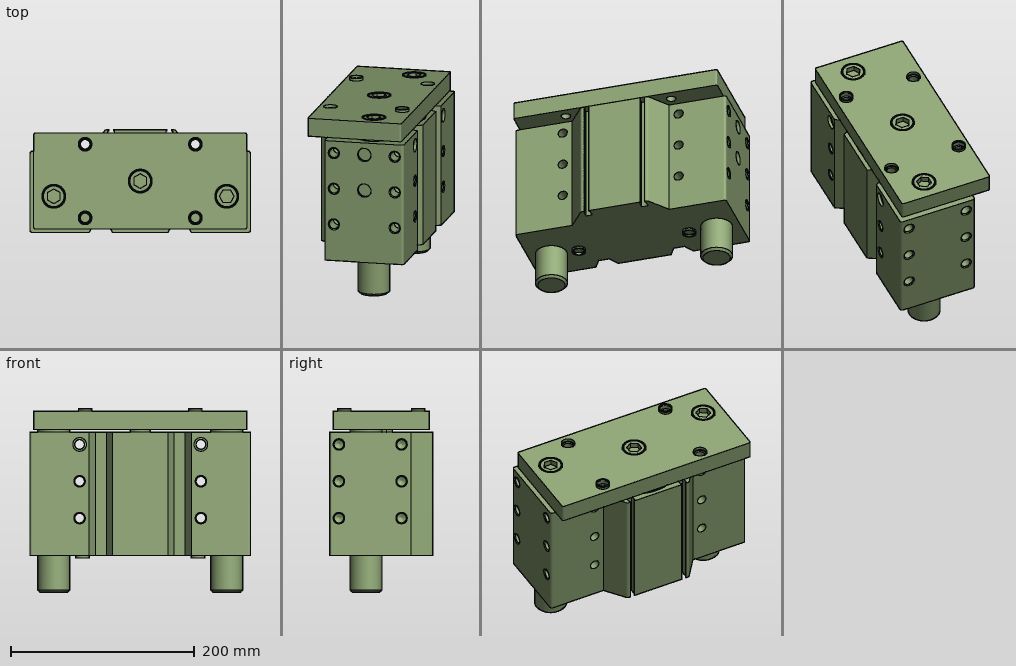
import cadquery as cq
import math


HOUSING_WIDTH = 240.0
HOUSING_DEPTH = 112.0
FRONT_Y = -HOUSING_DEPTH / 2
BACK_Y = HOUSING_DEPTH / 2
HOUSING_BOTTOM = 40.0
HOUSING_HEIGHT = 134.5
HOUSING_TOP = HOUSING_BOTTOM + HOUSING_HEIGHT
EDGE_RADIUS = 2.6

SHOULDER_Y = 32.6
SHOULDER_HALF_WIDTH = 55.2
BACK_HALF_WIDTH = 38.0
BACK_EDGE_RADIUS = 3.5

GROOVE_X = 42.85
GROOVE_MOUTH = 25.5
GROOVE_FLOOR = 12.0
GROOVE_WALL_ANGLE = 60.0
GROOVE_DEPTH = (GROOVE_MOUTH - GROOVE_FLOOR) / 2 * math.tan(math.radians(GROOVE_WALL_ANGLE))

SENSOR_SLOT_X = 31.7
SENSOR_SLOT_MOUTH = 5.0
SENSOR_SLOT_WIDTH = 7.0
SENSOR_SLOT_LIP = 1.7
SENSOR_SLOT_DEPTH = 9.5

CAP_RECESS_DIAMETER = 102.0
CAP_RECESS_DEPTH = 1.0

THREAD_DIAMETER = 10.3
COUNTERSINK_DIAMETER = 12.5
COUNTERSINK_ANGLE = 90.0
HOLE_SPACING_Z = 40.0
LOWEST_HOLE_HEIGHT = 40.8
HOLE_ROWS_Z = [HOUSING_BOTTOM + LOWEST_HOLE_HEIGHT + row * HOLE_SPACING_Z for row in range(3)]
FRONT_HOLE_X = 66.0
SIDE_HOLE_FRONT_Y = -46.0
SIDE_HOLE_BACK_Y = 22.0
SIDE_HOLE_DEPTH = 20.0
DRILL_TIP_ANGLE = 118.0
PORT_DIAMETER = 15.0
PORT_Y = -12.0
PORT_DEPTH = 4.0

SEAT_DIAMETER = 15.0
SEAT_DEPTH = 3.4
SLEEVE_BORE = 12.5
SLEEVE_RISE = 2.6
BOTTOM_SLEEVE_X = 63.0

PLATE_GAP = 2.6
PLATE_WIDTH = 231.8
PLATE_DEPTH = 104.6
PLATE_THICKNESS = 20.2
PLATE_BOTTOM = HOUSING_TOP + PLATE_GAP
PLATE_TOP = PLATE_BOTTOM + PLATE_THICKNESS
PLATE_EDGE_RADIUS = 2.0
PLATE_HOLE_X = 60.0
PLATE_HOLE_Y = 40.0

GUIDE_ROD_DIAMETER = 35.0
GUIDE_ROD_X = 94.0
GUIDE_ROD_Y = -16.5
GUIDE_ROD_AXES = [(-GUIDE_ROD_X, GUIDE_ROD_Y), (GUIDE_ROD_X, GUIDE_ROD_Y)]
GUIDE_ROD_CHAMFER = 2.6
PISTON_ROD_DIAMETER = 25.0
PISTON_ROD_FLATS = 22.0
PISTON_ROD_LENGTH = 120.0

HEAD_DIAMETER = 24.0
HEAD_HEIGHT = 16.0
HEAD_CHAMFER = 0.7
HEAD_SEAT_DIAMETER = 26.0
CLEARANCE_DIAMETER = 18.0
SHANK_DIAMETER = 16.5
SHANK_LENGTH = 30.0
HEX_ACROSS_FLATS = 14.0
HEX_DEPTH = 6.0
HEAD_SEAT_BOTTOM = PLATE_TOP - HEAD_HEIGHT
SHANK_BOTTOM = HEAD_SEAT_BOTTOM - SHANK_LENGTH
SCREW_AXES = [GUIDE_ROD_AXES[0], (0, 0), GUIDE_ROD_AXES[1]]
HEX_TURNS = [30, 30, 0]


def cylinder_z(diameter, bottom, top, x=0.0, y=0.0):
    return cq.Workplane("XY", origin=(x, y, bottom)).circle(diameter / 2).extrude(top - bottom)


def hole_cutter(start, direction, diameter, depth, mouth_diameter):
    """A hole of the given depth with a conical mouth, ready to be cut."""
    sink = (mouth_diameter - diameter) / 2 / math.tan(math.radians(COUNTERSINK_ANGLE / 2))
    base, axis = cq.Vector(*start), cq.Vector(*direction)
    drill = cq.Solid.makeCylinder(diameter / 2, depth, base, axis)
    mouth = cq.Solid.makeCone(mouth_diameter / 2, diameter / 2, sink, base, axis)
    return drill.fuse(mouth)


def housing_outline():
    mouth, floor = GROOVE_MOUTH / 2, GROOVE_FLOOR / 2
    groove = [(-mouth, FRONT_Y), (-floor, FRONT_Y + GROOVE_DEPTH),
              (floor, FRONT_Y + GROOVE_DEPTH), (mouth, FRONT_Y)]
    half_width = HOUSING_WIDTH / 2
    points = [(-half_width, FRONT_Y)]
    for center in (-GROOVE_X, GROOVE_X):
        points += [(center + x, y) for x, y in groove]
    points += [(half_width, FRONT_Y), (half_width, SHOULDER_Y), (SHOULDER_HALF_WIDTH, SHOULDER_Y),
               (BACK_HALF_WIDTH, BACK_Y), (-BACK_HALF_WIDTH, BACK_Y),
               (-SHOULDER_HALF_WIDTH, SHOULDER_Y), (-half_width, SHOULDER_Y)]
    return points


def housing_block():
    block = (cq.Workplane("XY", origin=(0, 0, HOUSING_BOTTOM))
             .polyline(housing_outline()).close().extrude(HOUSING_HEIGHT))
    block = block.edges("|Z and (<X or >X)").fillet(EDGE_RADIUS)
    block = block.edges("|Z and >Y").fillet(BACK_EDGE_RADIUS)
    return block.cut(sensor_slots())


def sensor_slots():
    """T-shaped slots along the full height of the back face."""
    centers = [(-SENSOR_SLOT_X, BACK_Y), (SENSOR_SLOT_X, BACK_Y)]
    base = cq.Workplane("XY", origin=(0, 0, HOUSING_BOTTOM)).pushPoints(centers)
    mouths = base.rect(SENSOR_SLOT_MOUTH, 2 * SENSOR_SLOT_DEPTH).extrude(HOUSING_HEIGHT)
    wide = base.rect(SENSOR_SLOT_WIDTH, 2 * SENSOR_SLOT_DEPTH).extrude(HOUSING_HEIGHT)
    lips = base.rect(SENSOR_SLOT_WIDTH, 2 * SENSOR_SLOT_LIP).extrude(HOUSING_HEIGHT)
    return mouths.union(wide.cut(lips))


def cut_cap_recess(housing):
    """Shallow round recess around the piston rod in the top face."""
    recess_floor = HOUSING_TOP - CAP_RECESS_DEPTH
    return housing.cut(cylinder_z(CAP_RECESS_DIAMETER, recess_floor, HOUSING_TOP))


def cut_front_holes(housing):
    for x in (-FRONT_HOLE_X, FRONT_HOLE_X):
        for z in HOLE_ROWS_Z:
            hole = hole_cutter((x, FRONT_Y, z), (0, 1, 0), THREAD_DIAMETER,
                               BACK_Y - FRONT_Y, COUNTERSINK_DIAMETER)
            housing = housing.cut(cq.Workplane(hole))
        seat = cq.Solid.makeCylinder(SEAT_DIAMETER / 2, SEAT_DEPTH,
                                     cq.Vector(x, FRONT_Y, HOLE_ROWS_Z[-1]), cq.Vector(0, 1, 0))
        housing = housing.cut(cq.Workplane(seat))
    return housing


def cut_side_holes(housing):
    """Blind threaded holes with a drill tip in both ends."""
    tip_length = THREAD_DIAMETER / 2 / math.tan(math.radians(DRILL_TIP_ANGLE / 2))
    for side in (-1, 1):
        x = side * HOUSING_WIDTH / 2
        inward = (-side, 0, 0)
        tip_x = x - side * SIDE_HOLE_DEPTH
        for y in (SIDE_HOLE_FRONT_Y, SIDE_HOLE_BACK_Y):
            for z in HOLE_ROWS_Z:
                hole = hole_cutter((x, y, z), inward, THREAD_DIAMETER,
                                   SIDE_HOLE_DEPTH, COUNTERSINK_DIAMETER)
                tip = cq.Solid.makeCone(THREAD_DIAMETER / 2, 0, tip_length,
                                        cq.Vector(tip_x, y, z), cq.Vector(*inward))
                housing = housing.cut(cq.Workplane(hole)).cut(cq.Workplane(tip))
    return housing


def cut_ports(housing):
    for z in HOLE_ROWS_Z[1:]:
        port = cq.Solid.makeCylinder(PORT_DIAMETER / 2, PORT_DEPTH,
                                     cq.Vector(-HOUSING_WIDTH / 2, PORT_Y, z), cq.Vector(1, 0, 0))
        housing = housing.cut(cq.Workplane(port))
    return housing


def add_bottom_sleeves(housing):
    for x in (-BOTTOM_SLEEVE_X, BOTTOM_SLEEVE_X):
        bottom = HOUSING_BOTTOM - SLEEVE_RISE
        housing = housing.union(cylinder_z(SEAT_DIAMETER, bottom, HOUSING_BOTTOM, x, GUIDE_ROD_Y))
        housing = housing.cut(cylinder_z(SLEEVE_BORE, bottom, HOUSING_BOTTOM, x, GUIDE_ROD_Y))
    return housing


def make_housing():
    housing = cut_cap_recess(housing_block())
    housing = cut_front_holes(housing)
    housing = cut_side_holes(housing)
    housing = cut_ports(housing)
    housing = add_bottom_sleeves(housing)
    housing = housing.cut(piston_rod_blank())
    for x, y in GUIDE_ROD_AXES:
        housing = housing.cut(cylinder_z(GUIDE_ROD_DIAMETER, 0, HOUSING_TOP, x, y))
    return housing


def make_plate():
    plate = (cq.Workplane("XY", origin=(0, 0, PLATE_BOTTOM)).rect(PLATE_WIDTH, PLATE_DEPTH)
             .extrude(PLATE_THICKNESS).edges("|Z").fillet(PLATE_EDGE_RADIUS))
    for x, y in SCREW_AXES:
        plate = plate.cut(cylinder_z(CLEARANCE_DIAMETER, PLATE_BOTTOM, PLATE_TOP, x, y))
        plate = plate.cut(cylinder_z(HEAD_SEAT_DIAMETER, HEAD_SEAT_BOTTOM, PLATE_TOP, x, y))
    for side_x in (-1, 1):
        for side_y in (-1, 1):
            x, y = side_x * PLATE_HOLE_X, side_y * PLATE_HOLE_Y
            has_sleeve = side_x == side_y
            plate = add_plate_hole(plate, x, y, has_sleeve)
    return plate


def add_plate_hole(plate, x, y, has_sleeve):
    """Through hole with a sleeve seat; a fitted sleeve stands above the plate as a rim."""
    hole = hole_cutter((x, y, PLATE_TOP - SEAT_DEPTH), (0, 0, -1), THREAD_DIAMETER,
                       PLATE_THICKNESS - SEAT_DEPTH, COUNTERSINK_DIAMETER)
    rim_top = PLATE_TOP
    seat_diameter = SEAT_DIAMETER
    if has_sleeve:
        rim_top = PLATE_TOP + SLEEVE_RISE
        seat_diameter = SLEEVE_BORE
        plate = plate.union(cylinder_z(SEAT_DIAMETER, PLATE_TOP, rim_top, x, y))
    seat = cylinder_z(seat_diameter, PLATE_TOP - SEAT_DEPTH, rim_top, x, y)
    return plate.cut(seat).cut(cq.Workplane(hole))


def cut_screw_thread(rod, x, y):
    return rod.cut(cylinder_z(SHANK_DIAMETER, SHANK_BOTTOM, PLATE_BOTTOM, x, y))


def make_guide_rod(x, y):
    rod = cylinder_z(GUIDE_ROD_DIAMETER, 0, PLATE_BOTTOM, x, y)
    rod = rod.faces("<Z").chamfer(GUIDE_ROD_CHAMFER)
    return cut_screw_thread(rod, x, y)


def piston_rod_blank():
    """Round rod with two wrench flats on the part above the recess floor of the housing."""
    rod = cylinder_z(PISTON_ROD_DIAMETER, PLATE_BOTTOM - PISTON_ROD_LENGTH, PLATE_BOTTOM)
    flats_bottom = HOUSING_TOP - CAP_RECESS_DEPTH
    end = cylinder_z(PISTON_ROD_DIAMETER, flats_bottom, PLATE_BOTTOM)
    flats = (cq.Workplane("XY", origin=(0, 0, flats_bottom))
             .rect(PISTON_ROD_FLATS, PISTON_ROD_DIAMETER).extrude(PLATE_BOTTOM - flats_bottom))
    return rod.cut(end.cut(flats))


def make_piston_rod():
    return cut_screw_thread(piston_rod_blank(), 0, 0)


def make_screw(x, y, hex_turn):
    head = cylinder_z(HEAD_DIAMETER, HEAD_SEAT_BOTTOM, PLATE_TOP, x, y)
    head = head.faces(">Z").chamfer(HEAD_CHAMFER)
    shank = cylinder_z(SHANK_DIAMETER, SHANK_BOTTOM, HEAD_SEAT_BOTTOM, x, y)
    across_corners = HEX_ACROSS_FLATS / math.cos(math.pi / 6)
    socket = (cq.Workplane("XY").polygon(6, across_corners).extrude(HEX_DEPTH)
              .rotate((0, 0, 0), (0, 0, 1), hex_turn)
              .translate((x, y, PLATE_TOP - HEX_DEPTH)))
    return head.union(shank).cut(socket)


housing = make_housing()
plate = make_plate()
piston_rod = make_piston_rod()
guide_rods = [make_guide_rod(x, y) for x, y in GUIDE_ROD_AXES]
screws = [make_screw(x, y, turn) for (x, y), turn in zip(SCREW_AXES, HEX_TURNS)]

result = cq.Compound.makeCompound([
    housing.val(),
    plate.val(),
    piston_rod.val(),
    *[rod.val() for rod in guide_rods],
    *[screw.val() for screw in screws],
])